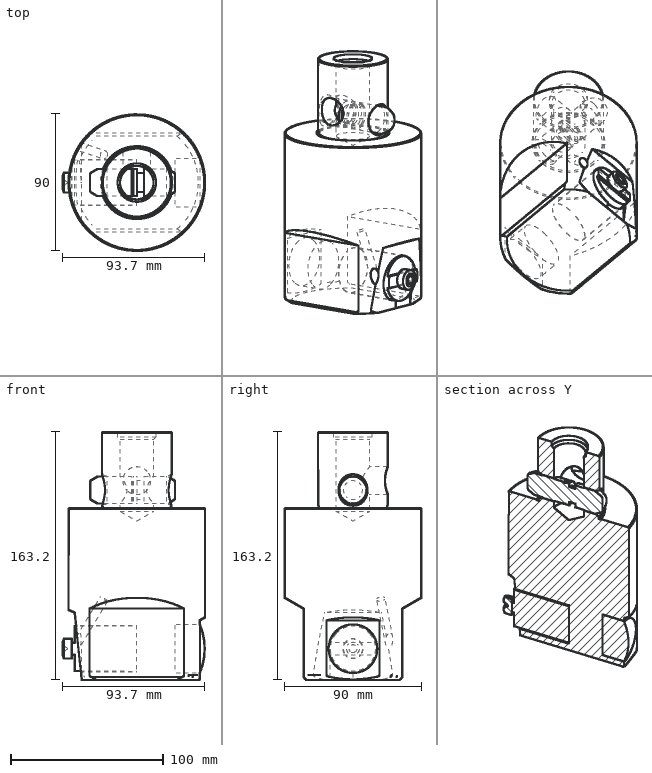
import cadquery as cq
import math

TOTAL_HEIGHT = 163.2
OVERALL_WIDTH_X = 93.7
BODY_RADIUS = 90.0 / 2
BODY_TOP = 113.3
SHANK_RADIUS = 23.0
EDGE_CHAMFER = 0.7

NECK_RADIUS = 22.2
NECK_TOP = 115.7
RELIEF_DEPTH = 0.5
RELIEF_OUTER_RADIUS = 24.0

RIM_RADIUS = 40.5
RIM_ANGLE = 30.0
RIM_BLEND = 0.8

BORE_RADIUS = 22.0 / 2
BORE_BOTTOM = 111.0
BORE_TIP_ANGLE = 30.0
MOUTH_RADIUS = 25.3 / 2
MOUTH_DEPTH = 3.3

SHOULDER_ANGLE = 30.0
SIDE_FLAT_Y = 32.5
SIDE_FLAT_TOP = 47.0
SIDE_FLAT_CHAMFER = 2.0
DIAL_FLAT_X = 41.5
DIAL_FLAT_TOP = 39.3
TOOL_FLAT_X = 36.2
TOOL_FLAT_TOP = 44.4
TOOL_FLAT_TILT = 6.0

SIDE_HOLE_RADIUS = 9.1
SIDE_HOLE_Z = 131.2

COOLANT_RADIUS = 2.8
COOLANT_LENGTH = 32.6
COOLANT_START = cq.Vector(-38.2, 23.8, 25.8)
COOLANT_DIRECTION = cq.Vector(0.6, -0.2, 1.0)

PIN_RADIUS = 9.0
PIN_Z = 125.0
PIN_CENTER_X = -2.8
PIN_HALF_LENGTH = 56.0 / 2
PIN_TIP_RADIUS = 12.2 / 2
PIN_CONE_ANGLE = 30.0
PIN_TIP_FILLET = 2.0
PIN_GROOVE_RADIUS = 6.2
PIN_GROOVE_START = 3.0
PIN_GROOVE_END = 7.5
PIN_NOTCH_DEPTH = 0.7
PIN_SEAT_MOUTH_RADIUS = 10.5
PIN_SEAT_CONE_DEPTH = 3.5

TOOL_AXIS_Z = 20.7
CARTRIDGE_RADIUS = 14.9
CARTRIDGE_GAP = 0.3
CARTRIDGE_SEAT_RADIUS = CARTRIDGE_RADIUS + CARTRIDGE_GAP
CARTRIDGE_FACE_X = -41.0
CARTRIDGE_LENGTH = 40.8
KEY_WIDTH = 8.0
KEY_HEIGHT = 1.6

SCREW_RADIUS = 13.2 / 2
SCREW_FRONT_X = BODY_RADIUS - OVERALL_WIDTH_X
SCREW_NOSE_LENGTH = 0.8
SCREW_NOSE_RADIUS = 4.2
SCREW_BACK_CHAMFER = 0.3
SCREW_SOCKET_RADIUS = 2.6
SCREW_SOCKET_DEPTH = 3.3

DIAL_RADIUS = 16.0
DIAL_DOME_HEIGHT = 3.3
DIAL_SEAT_DEPTH = 16.3

CLEARANCE = 32.6


def tan_deg(angle):
    return math.tan(math.radians(angle))


def revolve_about_z(outline):
    return outline.close().revolve(360, (0, 0, 0), (0, 1, 0))


def revolve_about_x(outline, z):
    """Turn an (along X, radius) outline about the X direction at height z."""
    return outline.close().revolve(360, (0, 0, 0), (1, 0, 0)).translate((0, 0, z))


def x_cylinder(radius, x_start, x_end, z):
    plane = cq.Workplane("YZ", origin=(x_start, 0, z))
    return plane.circle(radius).extrude(x_end - x_start)


def turned_blank():
    rim_corner_z = (BODY_RADIUS - RIM_RADIUS) * tan_deg(RIM_ANGLE)
    blend_dx = RIM_BLEND * math.cos(math.radians(RIM_ANGLE))
    blend_dz = RIM_BLEND * math.sin(math.radians(RIM_ANGLE))
    outline = (
        cq.Workplane("XZ")
        .lineTo(RIM_RADIUS, 0)
        .lineTo(BODY_RADIUS - blend_dx, rim_corner_z - blend_dz)
        .tangentArcPoint((BODY_RADIUS, rim_corner_z + RIM_BLEND), relative=False)
        .lineTo(BODY_RADIUS, BODY_TOP - EDGE_CHAMFER)
        .lineTo(BODY_RADIUS - EDGE_CHAMFER, BODY_TOP)
        .lineTo(RELIEF_OUTER_RADIUS, BODY_TOP)
        .lineTo(RELIEF_OUTER_RADIUS - RELIEF_DEPTH, BODY_TOP - RELIEF_DEPTH)
        .lineTo(NECK_RADIUS, BODY_TOP - RELIEF_DEPTH)
        .lineTo(SHANK_RADIUS, NECK_TOP)
        .lineTo(SHANK_RADIUS, TOTAL_HEIGHT - EDGE_CHAMFER)
        .lineTo(SHANK_RADIUS - EDGE_CHAMFER, TOTAL_HEIGHT)
        .lineTo(0, TOTAL_HEIGHT)
    )
    return revolve_about_z(outline)


def shank_bore():
    step_z = TOTAL_HEIGHT - MOUTH_DEPTH
    outline = (
        cq.Workplane("XZ")
        .moveTo(0, BORE_BOTTOM - BORE_RADIUS * tan_deg(BORE_TIP_ANGLE))
        .lineTo(BORE_RADIUS, BORE_BOTTOM)
        .lineTo(BORE_RADIUS, step_z - (MOUTH_RADIUS - BORE_RADIUS))
        .lineTo(MOUTH_RADIUS, step_z)
        .lineTo(MOUTH_RADIUS, TOTAL_HEIGHT)
        .lineTo(0, TOTAL_HEIGHT)
    )
    return revolve_about_z(outline)


def flat_cutter(distance, top, chamfer=0.0):
    """Material outside a flat facing +X, below its sloping shoulder."""
    reach = BODY_RADIUS + CLEARANCE
    shoulder_rise = (reach - distance) * tan_deg(SHOULDER_ANGLE)
    outline = cq.Workplane("XZ").moveTo(distance - chamfer, 0)
    if chamfer > 0:
        outline = outline.lineTo(distance, chamfer)
    outline = outline.lineTo(distance, top).lineTo(reach, top + shoulder_rise).lineTo(reach, 0)
    return outline.close().extrude(BODY_RADIUS, both=True)


def side_flats():
    flat = flat_cutter(SIDE_FLAT_Y, SIDE_FLAT_TOP, SIDE_FLAT_CHAMFER)
    return [flat.rotate((0, 0, 0), (0, 0, 1), angle) for angle in (90, -90)]


def tool_flat():
    """Tilted flat facing -X, leaning towards the axis at the bottom."""
    reach = BODY_RADIUS + CLEARANCE
    top_x = TOOL_FLAT_X + TOOL_FLAT_TOP * tan_deg(TOOL_FLAT_TILT)
    shoulder_rise = (reach - top_x) * tan_deg(SHOULDER_ANGLE - TOOL_FLAT_TILT)
    outline = (
        cq.Workplane("XZ")
        .moveTo(-TOOL_FLAT_X, 0)
        .lineTo(-top_x, TOOL_FLAT_TOP)
        .lineTo(-reach, TOOL_FLAT_TOP + shoulder_rise)
        .lineTo(-reach, 0)
    )
    return outline.close().extrude(BODY_RADIUS, both=True)


def tool_pocket():
    """Upright recess below the cartridge, on its -Y half, flush with the flat's bottom edge."""
    recess = cq.Workplane("XY").box(CLEARANCE, CARTRIDGE_SEAT_RADIUS, TOOL_AXIS_Z, centered=False)
    return recess.translate((-TOOL_FLAT_X - CLEARANCE, -CARTRIDGE_SEAT_RADIUS, 0))


def pin_seat():
    """Cross hole for the clamp pin, flared at both ends."""
    flare_start = SHANK_RADIUS - PIN_SEAT_CONE_DEPTH
    outline = (
        cq.Workplane("XY")
        .moveTo(-SHANK_RADIUS, 0)
        .lineTo(-SHANK_RADIUS, PIN_SEAT_MOUTH_RADIUS)
        .lineTo(-flare_start, PIN_RADIUS)
        .lineTo(flare_start, PIN_RADIUS)
        .lineTo(SHANK_RADIUS, PIN_SEAT_MOUTH_RADIUS)
        .lineTo(SHANK_RADIUS, 0)
    )
    return revolve_about_x(outline, PIN_Z)


def side_hole():
    plane = cq.Workplane("XZ", origin=(0, 0, SIDE_HOLE_Z))
    return plane.circle(SIDE_HOLE_RADIUS).extrude(-SHANK_RADIUS)


def coolant_hole():
    lead_in = COOLANT_DIRECTION.normalized() * CLEARANCE
    length = CLEARANCE + COOLANT_LENGTH
    hole = cq.Solid.makeCylinder(COOLANT_RADIUS, length, COOLANT_START - lead_in, COOLANT_DIRECTION)
    return cq.Workplane(hole)


def cartridge_seat():
    x_end = CARTRIDGE_FACE_X + CARTRIDGE_LENGTH
    return x_cylinder(CARTRIDGE_SEAT_RADIUS, CARTRIDGE_FACE_X - CLEARANCE, x_end, TOOL_AXIS_Z)


def dial_seat():
    return x_cylinder(DIAL_RADIUS, DIAL_FLAT_X - DIAL_SEAT_DEPTH, DIAL_FLAT_X, TOOL_AXIS_Z)


def make_housing():
    cutters = [
        shank_bore(),
        *side_flats(),
        flat_cutter(DIAL_FLAT_X, DIAL_FLAT_TOP),
        tool_flat(),
        tool_pocket(),
        pin_seat(),
        side_hole(),
        coolant_hole(),
        cartridge_seat(),
        dial_seat(),
    ]
    housing = turned_blank()
    for cutter in cutters:
        housing = housing.cut(cutter)
    return housing


def make_clamp_pin():
    """Double-ended pin with cone ends, a V notch at mid-length and a wider groove beside it."""
    cone_length = (PIN_RADIUS - PIN_TIP_RADIUS) / tan_deg(PIN_CONE_ANGLE)
    cone_start = PIN_HALF_LENGTH - cone_length
    outline = (
        cq.Workplane("XY")
        .moveTo(-PIN_HALF_LENGTH, 0)
        .lineTo(-PIN_HALF_LENGTH, PIN_TIP_RADIUS)
        .lineTo(-cone_start, PIN_RADIUS)
        .lineTo(cone_start, PIN_RADIUS)
        .lineTo(PIN_HALF_LENGTH, PIN_TIP_RADIUS)
        .lineTo(PIN_HALF_LENGTH, 0)
    )
    blank = outline.close().revolve(360, (0, 0, 0), (1, 0, 0))
    rounded = blank.edges("%CIRCLE").fillet(PIN_TIP_FILLET)
    notch = (
        cq.Workplane("XY")
        .moveTo(-PIN_NOTCH_DEPTH, PIN_RADIUS)
        .lineTo(0, PIN_RADIUS - PIN_NOTCH_DEPTH)
        .lineTo(PIN_NOTCH_DEPTH, PIN_RADIUS)
        .close()
        .revolve(360, (0, 0, 0), (1, 0, 0))
    )
    groove_width = PIN_GROOVE_END - PIN_GROOVE_START
    groove = (
        cq.Workplane("YZ", origin=(PIN_GROOVE_START, 0, 0))
        .circle(PIN_RADIUS)
        .circle(PIN_GROOVE_RADIUS)
        .extrude(groove_width)
    )
    return rounded.cut(notch).cut(groove).translate((PIN_CENTER_X, 0, PIN_Z))


def make_cartridge():
    """Round plug with a raised key bar across its outer face."""
    x_end = CARTRIDGE_FACE_X + CARTRIDGE_LENGTH
    plug = x_cylinder(CARTRIDGE_RADIUS, CARTRIDGE_FACE_X, x_end, TOOL_AXIS_Z)
    key_disc = x_cylinder(CARTRIDGE_RADIUS, CARTRIDGE_FACE_X - KEY_HEIGHT, CARTRIDGE_FACE_X, TOOL_AXIS_Z)
    key_band = cq.Workplane("XY").box(2 * BODY_RADIUS, 2 * BODY_RADIUS, KEY_WIDTH)
    key = key_disc.intersect(key_band.translate((CARTRIDGE_FACE_X, 0, TOOL_AXIS_Z)))
    return plug.union(key)


def make_screw():
    back_x = CARTRIDGE_FACE_X - KEY_HEIGHT
    outline = (
        cq.Workplane("XY")
        .moveTo(back_x, 0)
        .lineTo(back_x, SCREW_RADIUS - SCREW_BACK_CHAMFER)
        .lineTo(back_x - SCREW_BACK_CHAMFER, SCREW_RADIUS)
        .lineTo(SCREW_FRONT_X + SCREW_NOSE_LENGTH, SCREW_RADIUS)
        .lineTo(SCREW_FRONT_X, SCREW_NOSE_RADIUS)
        .lineTo(SCREW_FRONT_X, SCREW_SOCKET_RADIUS)
        .lineTo(SCREW_FRONT_X + SCREW_SOCKET_DEPTH, 0)
    )
    return revolve_about_x(outline, TOOL_AXIS_Z)


def make_dial():
    sphere_radius = (DIAL_RADIUS**2 + DIAL_DOME_HEIGHT**2) / (2 * DIAL_DOME_HEIGHT)
    tip_x = DIAL_FLAT_X + DIAL_DOME_HEIGHT
    half_angle = math.asin(DIAL_RADIUS / sphere_radius) / 2
    dome_middle = (
        tip_x - sphere_radius * (1 - math.cos(half_angle)),
        sphere_radius * math.sin(half_angle),
    )
    outline = (
        cq.Workplane("XY")
        .moveTo(DIAL_FLAT_X - DIAL_SEAT_DEPTH, 0)
        .lineTo(DIAL_FLAT_X - DIAL_SEAT_DEPTH, DIAL_RADIUS)
        .lineTo(DIAL_FLAT_X, DIAL_RADIUS)
        .threePointArc(dome_middle, (tip_x, 0))
    )
    return revolve_about_x(outline, TOOL_AXIS_Z)


housing = make_housing()
clamp_pin = make_clamp_pin()
cartridge = make_cartridge()
screw = make_screw()
dial = make_dial()

result = cq.Compound.makeCompound(
    [housing.val(), clamp_pin.val(), cartridge.val(), screw.val(), dial.val()]
)